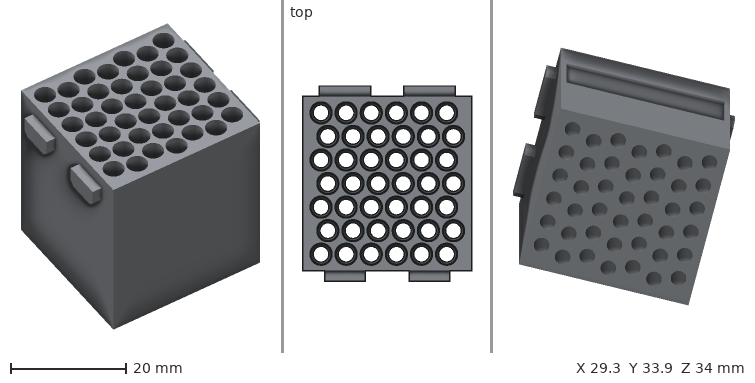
import cadquery as cq
import math

body_width = 29.3
body_depth = 30.25
body_height = 34.0

tab_projection = 1.8
tab_height = 3.77
tab_top_drop = 2.65
tab_corner = 0.95
front_tab_width = 7.05
back_tab_width = 8.95

label_margin = 1.0
label_top_drop = 8.0
label_height = 10.75
label_depth = 0.68

hole_columns = 6
hole_rows = 7
column_pitch = 4.35
row_pitch = 4.08
row_stagger = 1.2
hole_top_diameter = 3.85
hole_shoulder_diameter = 3.5
hole_bottom_diameter = 2.7
hole_cone_angle = 30


def make_tab(width, x_center):
    """Tab with its lower corners cut at 45 degrees, extruded from Y = 0 toward -Y."""
    top = body_height - tab_top_drop
    tab = cq.Workplane("XY").box(width, tab_projection, tab_height)
    tab = tab.edges("|Y and <Z").chamfer(tab_corner)
    return tab.translate((x_center, -tab_projection / 2, top - tab_height / 2))


def hole_centers():
    """Hole positions; every second row is shifted toward +X."""
    first_x = -((hole_columns - 1) * column_pitch + row_stagger) / 2
    first_y = -(hole_rows - 1) * row_pitch / 2
    centers = []
    for row in range(hole_rows):
        row_x = first_x + (row % 2) * row_stagger
        for column in range(hole_columns):
            centers.append((row_x + column * column_pitch, first_y + row * row_pitch))
    return centers


def make_hole():
    """Cutter for one hole on the Z axis: a slightly tapered tube ending in a conical seat."""
    top_radius = hole_top_diameter / 2
    shoulder_radius = hole_shoulder_diameter / 2
    bottom_radius = hole_bottom_diameter / 2
    seat_height = (shoulder_radius - bottom_radius) * math.tan(math.radians(hole_cone_angle))
    half_section = [
        (0, 0),
        (bottom_radius, 0),
        (shoulder_radius, seat_height),
        (top_radius, body_height),
        (0, body_height),
    ]
    return cq.Workplane("XZ").polyline(half_section).close().revolve(360, (0, 0), (0, 1)).val()


body = cq.Workplane("XY").box(body_width, body_depth, body_height, centered=(True, True, False))

for x_center in (-body_width / 4, body_width / 4):
    front_tab = make_tab(front_tab_width, x_center).translate((0, -body_depth / 2, 0))
    back_tab = make_tab(back_tab_width, x_center).mirror("XZ").translate((0, body_depth / 2, 0))
    body = body.union(front_tab).union(back_tab)

label_width = body_depth - 2 * label_margin
label_bottom = body_height - label_top_drop - label_height
label_recess = cq.Workplane("XY").box(label_depth, label_width, label_height, centered=(False, True, False))
body = body.cut(label_recess.translate((-body_width / 2, 0, label_bottom)))

hole = make_hole()
holes = cq.Compound.makeCompound([hole.translate(cq.Vector(x, y, 0)) for x, y in hole_centers()])
result = body.cut(cq.Workplane("XY").newObject([holes]))